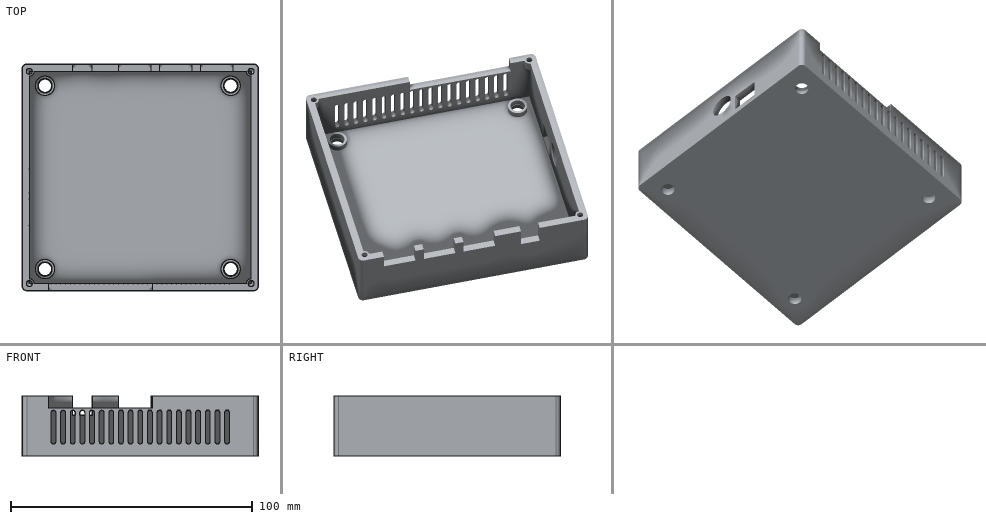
import cadquery as cq
import math

length = 98.0
width = 94.0
height = 25.0
wall = 3.0
floor = 2.0
corner_radius = 2.0

boss_diameter = 8.0
boss_height = 2.5
boss_bore_diameter = 6.0
boss_through_diameter = 5.5
boss_bore_depth = boss_height
boss_x_positions = (9.5, 86.5)
boss_y_positions = (9.0, 85.0)

post_diameter = 4.0
post_length = 4.0
screw_hole_diameter = 2.5
screw_hole_depth = post_length
drill_point_angle = 118.0
drill_tip_depth = screw_hole_diameter / 2 / math.tan(math.radians(drill_point_angle / 2))

front_notch_start = 11.0
front_notch_width = 43.0
front_notch_depth = 5.0
slot_count = 19
slot_pitch = 4.0
slot_width = 2.0
slot_bottom = 5.0
slot_top = 19.0

small_notch_depth = 8.0
small_notch_start = 21.0
small_notch_width = 8.0
large_notch_depth = 6.0
large_notch_start = 40.0
large_notch_width = 13.5
large_notch_pitch = 17.0
large_notch_count = 3

round_port_diameter = 10.0
round_port_y = 45.5
round_port_z = height / 2
rect_port_start = 27.0
rect_port_width = 11.0
rect_port_bottom = 3.0
rect_port_height = 9.0


def box_at(x, y, z, size_x, size_y, size_z):
    """Box with its lowest corner at (x, y, z)."""
    return cq.Workplane("XY").box(size_x, size_y, size_z, centered=False).translate((x, y, z))


def cylinder_at(x, y, z, diameter, cylinder_height):
    """Upright cylinder standing on the point (x, y, z)."""
    return cq.Workplane("XY").circle(diameter / 2).extrude(cylinder_height).translate((x, y, z))


def tray():
    """Open box with rounded outer corners and square inner corners."""
    body = box_at(0, 0, 0, length, width, height).edges("|Z").fillet(corner_radius)
    cavity = box_at(wall, wall, floor, length - 2 * wall, width - 2 * wall, height - floor)
    return body.cut(cavity)


def add_bosses(body):
    """Raise a hollow boss at each mounting position and open it through the floor."""
    boss_top = floor + boss_height
    for x in boss_x_positions:
        for y in boss_y_positions:
            body = body.union(cylinder_at(x, y, 0, boss_diameter, boss_top))
            body = body.cut(cylinder_at(x, y, 0, boss_through_diameter, boss_top))
            bore_bottom = boss_top - boss_bore_depth
            body = body.cut(cylinder_at(x, y, bore_bottom, boss_bore_diameter, boss_bore_depth))
    return body


def screw_hole(x, y):
    """Blind hole from the rim with a conical end."""
    radius = screw_hole_diameter / 2
    profile = (
        cq.Workplane("XZ")
        .moveTo(0, height)
        .lineTo(radius, height)
        .lineTo(radius, height - screw_hole_depth)
        .lineTo(0, height - screw_hole_depth - drill_tip_depth)
        .close()
    )
    return profile.revolve(360, (0, 0, 0), (0, 1, 0)).translate((x, y, 0))


def add_corner_posts(body):
    """Short screw posts hanging from the rim at the four inner corners."""
    for x in (wall, length - wall):
        for y in (wall, width - wall):
            body = body.union(cylinder_at(x, y, height - post_length, post_diameter, post_length))
            body = body.cut(screw_hole(x, y))
    return body


def cut_front_wall(body):
    """Notch in the rim and a row of round-ended slots, centred along X."""
    notch_bottom = height - front_notch_depth
    body = body.cut(box_at(front_notch_start, 0, notch_bottom, front_notch_width, wall, front_notch_depth))
    slots = (
        cq.Workplane("XZ", origin=(length / 2, 0, (slot_bottom + slot_top) / 2))
        .rarray(slot_pitch, 1, slot_count, 1)
        .slot2D(slot_top - slot_bottom, slot_width, 90)
        .extrude(-wall)
    )
    return body.cut(slots)


def cut_back_wall(body):
    """One narrow and several equal wide notches in the rim."""
    notches = [(small_notch_start, small_notch_width, small_notch_depth)]
    for index in range(large_notch_count):
        start = large_notch_start + index * large_notch_pitch
        notches.append((start, large_notch_width, large_notch_depth))
    for start, notch_width, depth in notches:
        body = body.cut(box_at(start, width - wall, height - depth, notch_width, wall, depth))
    return body


def cut_left_wall(body):
    """Round port and rectangular port side by side."""
    round_port = (
        cq.Workplane("YZ", origin=(0, round_port_y, round_port_z))
        .circle(round_port_diameter / 2)
        .extrude(wall)
    )
    rect_port = box_at(0, rect_port_start, rect_port_bottom, wall, rect_port_width, rect_port_height)
    return body.cut(round_port).cut(rect_port)


result = tray()
result = add_bosses(result)
result = add_corner_posts(result)
result = cut_front_wall(result)
result = cut_back_wall(result)
result = cut_left_wall(result)